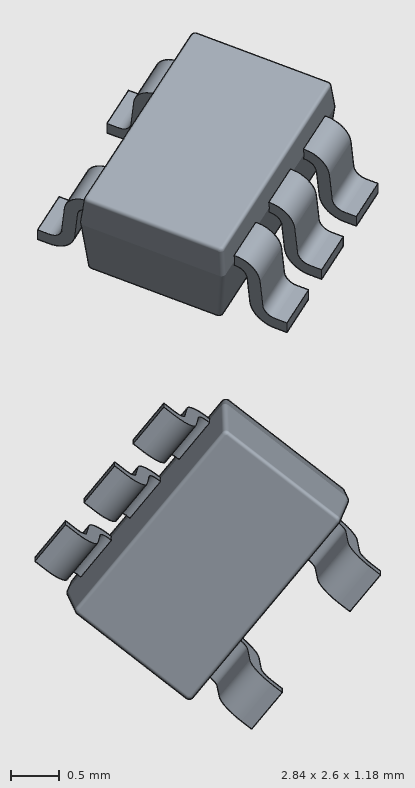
import cadquery as cq
import math

body_length_x = 1.65
body_length_y = 2.6
body_bottom_z = 0.08
body_top_z = 1.18
parting_z = 0.81
draft_angle = 5.0
corner_radius = 0.05
rim_radius = 0.04

lead_span_x = 2.84
lead_width = 0.5
lead_thickness = 0.15
lead_top_z = 0.895
lead_lean = 5.0
foot_bend_radius = 0.215
shoulder_bend_radius = 0.205
shoulder_straight = 0.01
lead_embed = 0.2
outer_row_y = 0.8
left_lead_rows = [-outer_row_y, outer_row_y]
right_lead_rows = [-outer_row_y, 0.0, outer_row_y]


def body_half(height):
    """Drafted block from the parting plane; a negative height grows downwards."""
    half = (
        cq.Workplane("XY")
        .rect(body_length_x, body_length_y)
        .extrude(abs(height), taper=draft_angle)
    )
    half = half.edges("not (<Z or >Z)").fillet(corner_radius)
    half = half.faces(">Z").edges().fillet(rim_radius)
    if height < 0:
        half = half.mirror("XY")
    return half.translate((0, 0, parting_z))


def around(center, radius, angle):
    """Point at a distance and direction (degrees from +X) from a center in the XZ plane."""
    direction = math.radians(angle)
    return (
        center[0] + radius * math.cos(direction),
        center[1] + radius * math.sin(direction),
    )


def right_lead(row_y):
    """Lead on the +X flank: embedded shank, shoulder bend, leaning leg, foot bend, foot."""
    half_thickness = lead_thickness / 2
    turn = 90 - lead_lean
    lean = math.radians(lead_lean)
    shoulder_outer = shoulder_bend_radius + half_thickness
    shoulder_inner = shoulder_bend_radius - half_thickness
    foot_outer = foot_bend_radius + half_thickness
    foot_inner = foot_bend_radius - half_thickness

    radius_sum = shoulder_bend_radius + foot_bend_radius
    centerline_rise = lead_top_z - lead_thickness
    leg_length = (centerline_rise - radius_sum * (1 - math.sin(lean))) / math.cos(lean)
    bend_spacing_x = radius_sum * math.cos(lean) + leg_length * math.sin(lean)
    shoulder_x = body_length_x / 2 + shoulder_straight
    shoulder_center = (shoulder_x, lead_top_z - shoulder_outer)
    foot_center = (shoulder_x + bend_spacing_x, foot_outer)

    shank_x = body_length_x / 2 - lead_embed
    tip_x = lead_span_x / 2
    shoulder_start = 90
    shoulder_end = shoulder_start - turn
    shoulder_middle = (shoulder_start + shoulder_end) / 2
    foot_start = shoulder_end + 180
    foot_end = 270
    foot_middle = (foot_start + foot_end) / 2

    profile = (
        cq.Workplane("XZ")
        .moveTo(shank_x, lead_top_z)
        .lineTo(shoulder_x, lead_top_z)
        .threePointArc(
            around(shoulder_center, shoulder_outer, shoulder_middle),
            around(shoulder_center, shoulder_outer, shoulder_end),
        )
        .lineTo(*around(foot_center, foot_inner, foot_start))
        .threePointArc(
            around(foot_center, foot_inner, foot_middle),
            around(foot_center, foot_inner, foot_end),
        )
        .lineTo(tip_x, lead_thickness)
        .lineTo(tip_x, 0)
        .lineTo(foot_center[0], 0)
        .threePointArc(
            around(foot_center, foot_outer, foot_middle),
            around(foot_center, foot_outer, foot_start),
        )
        .lineTo(*around(shoulder_center, shoulder_inner, shoulder_end))
        .threePointArc(
            around(shoulder_center, shoulder_inner, shoulder_middle),
            around(shoulder_center, shoulder_inner, shoulder_start),
        )
        .lineTo(shank_x, lead_top_z - lead_thickness)
        .close()
    )
    return profile.extrude(lead_width / 2, both=True).translate((0, row_y, 0))


result = body_half(body_top_z - parting_z).union(body_half(body_bottom_z - parting_z))

for row_y in right_lead_rows:
    result = result.union(right_lead(row_y))

for row_y in left_lead_rows:
    result = result.union(right_lead(row_y).mirror("YZ"))